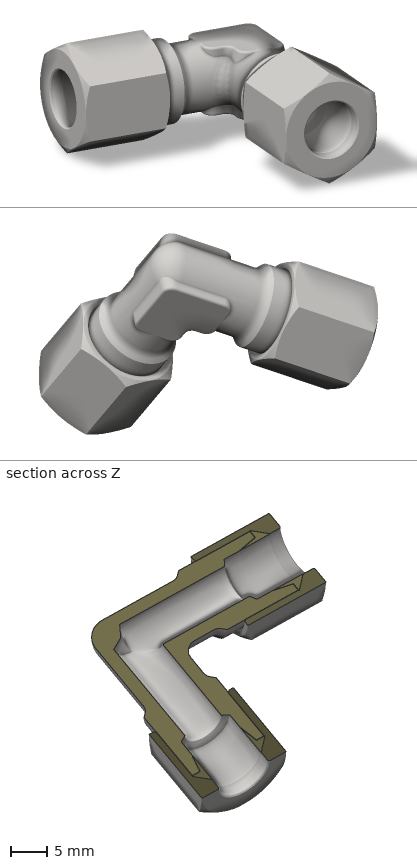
import cadquery as cq
import math


TUBE_RADIUS = 5.0
OUTER_BEND_RADIUS = 3.5
CROTCH_RADIUS = 2.0
COLLAR_RADIUS = 6.0
COLLAR_SWEEP_START = 10.15
COLLAR_SWEEP_RADIUS = 1.42
COLLAR_CONE_ANGLE = 45.0

BORE_RADIUS = 3.0
DRILL_TIP_ANGLE = 120.0
SOCKET_RADIUS = 4.0
SOCKET_FLOOR = 18.0
SEAT_HALF_ANGLE = 12.0
SEAT_DEPTH = 3.0

PAD_HEIGHT = 5.0
PAD_HALF_WIDTH = 3.48
PAD_REACH = 7.0
PAD_DRAFT_ANGLE = 13.0
PAD_CORNER_RADIUS = 1.5
PAD_NOTCH_RADIUS = 1.0
PAD_EDGE_RADIUS = 0.33

EDGE_MARGIN = 0.2

NUT_ACROSS_FLATS = 14.0
NUT_START = 14.45
NUT_LENGTH = 13.0
NUT_FACE_RADIUS = 6.95
NUT_CHAMFER_ANGLE = 30.0
NUT_MOUTH_CHAMFER = 0.25
NUT_HOLE_RADIUS = 4.05
NUT_HOLE_LIP = 0.18
NUT_HOLE_DEPTH = 1.9

RING_LEAD_IN = 0.15

BEND_OFFSET = TUBE_RADIUS - OUTER_BEND_RADIUS
NUT_END = NUT_START + NUT_LENGTH
NUT_CORNER_RADIUS = NUT_ACROSS_FLATS / 2 / math.cos(math.radians(30))
NUT_CHAMFER_LENGTH = (NUT_CORNER_RADIUS - NUT_FACE_RADIUS) * math.tan(math.radians(NUT_CHAMFER_ANGLE))
NUT_HOLE_START = NUT_END - NUT_HOLE_DEPTH
RING_SHOULDER_START = NUT_HOLE_START - (COLLAR_RADIUS - NUT_HOLE_RADIUS)
ARM_END = RING_SHOULDER_START
SEAT_MOUTH_RADIUS = SOCKET_RADIUS + SEAT_DEPTH * math.tan(math.radians(SEAT_HALF_ANGLE))
DRILL_TIP_LENGTH = BORE_RADIUS / math.tan(math.radians(DRILL_TIP_ANGLE / 2))


def revolve_on_x(profile):
    """Revolve a closed (x, radius) profile about the X axis."""
    return profile.close().revolve(360, (0, 0, 0), (1, 0, 0))


def to_y_arm(shape):
    """Turn a shape built on the +X arm onto the -Y arm."""
    return shape.rotate((0, 0, 0), (0, 0, 1), -90).mirror("YZ")


def make_arm():
    """Plain tube from the outer bend to the collar sweep."""
    return (
        cq.Workplane("YZ", origin=(-BEND_OFFSET, 0, 0))
        .circle(TUBE_RADIUS)
        .extrude(COLLAR_SWEEP_START + BEND_OFFSET)
    )


def make_collar():
    """Round sweep, cone and threaded collar at the end of an arm."""

    def sweep_point(angle):
        return (
            COLLAR_SWEEP_START + COLLAR_SWEEP_RADIUS * math.sin(angle),
            TUBE_RADIUS + COLLAR_SWEEP_RADIUS * (1 - math.cos(angle)),
        )

    cone_angle = math.radians(COLLAR_CONE_ANGLE)
    sweep_end = sweep_point(cone_angle)
    cone_end_x = sweep_end[0] + (COLLAR_RADIUS - sweep_end[1]) / math.tan(cone_angle)
    return revolve_on_x(
        cq.Workplane("XY")
        .moveTo(COLLAR_SWEEP_START, 0)
        .lineTo(COLLAR_SWEEP_START, TUBE_RADIUS)
        .threePointArc(sweep_point(cone_angle / 2), sweep_end)
        .lineTo(cone_end_x, COLLAR_RADIUS)
        .lineTo(ARM_END, COLLAR_RADIUS)
        .lineTo(ARM_END, 0)
    )


def make_outer_bend():
    """Quarter turn joining the backs of the two tubes."""
    half_height = math.sqrt(TUBE_RADIUS**2 - BEND_OFFSET**2)
    return (
        cq.Workplane("XZ", origin=(-BEND_OFFSET, BEND_OFFSET, 0))
        .moveTo(0, -half_height)
        .threePointArc((-OUTER_BEND_RADIUS, 0), (0, half_height))
        .close()
        .revolve(90, (0, 0, 0), (0, -1, 0))
    )


def make_pad():
    """L-shaped raised pad; the side walls of its X leg are drafted."""
    draft = PAD_HEIGHT * math.tan(math.radians(PAD_DRAFT_ANGLE))
    base_half_width = PAD_HALF_WIDTH + draft
    x_leg = (
        cq.Workplane("YZ", origin=(-PAD_HALF_WIDTH, 0, 0))
        .polyline(
            [
                (-base_half_width, 0),
                (base_half_width, 0),
                (PAD_HALF_WIDTH, PAD_HEIGHT),
                (-PAD_HALF_WIDTH, PAD_HEIGHT),
            ]
        )
        .close()
        .extrude(PAD_HALF_WIDTH + PAD_REACH)
    )
    y_leg = (
        cq.Workplane("XY", origin=(0, -PAD_REACH, 0))
        .box(2 * PAD_HALF_WIDTH, PAD_REACH, PAD_HEIGHT, centered=(True, False, False))
    )
    pad = x_leg.union(y_leg)
    notch_corner = cq.selectors.BoxSelector(
        (PAD_HALF_WIDTH - EDGE_MARGIN, -base_half_width - EDGE_MARGIN, 0),
        (PAD_HALF_WIDTH + EDGE_MARGIN, -PAD_HALF_WIDTH + EDGE_MARGIN, PAD_HEIGHT),
    )
    upright_edges = pad.edges("not #Z")
    pad = upright_edges.edges(cq.selectors.InverseSelector(notch_corner)).fillet(PAD_CORNER_RADIUS)
    pad = pad.edges("not #Z").edges(notch_corner).fillet(PAD_NOTCH_RADIUS)
    return pad.faces(">Z").edges().fillet(PAD_EDGE_RADIUS)


def make_bore():
    """Drilled bore with a conical tip, tube socket and ring seat of the X arm."""
    floor_length = (SOCKET_RADIUS - BORE_RADIUS) / math.tan(math.radians(DRILL_TIP_ANGLE / 2))
    return revolve_on_x(
        cq.Workplane("XY")
        .moveTo(-DRILL_TIP_LENGTH, 0)
        .lineTo(0, BORE_RADIUS)
        .lineTo(SOCKET_FLOOR - floor_length, BORE_RADIUS)
        .lineTo(SOCKET_FLOOR, SOCKET_RADIUS)
        .lineTo(ARM_END - SEAT_DEPTH, SOCKET_RADIUS)
        .lineTo(ARM_END, SEAT_MOUTH_RADIUS)
        .lineTo(ARM_END, 0)
    )


def make_elbow():
    """Two tubes with a rounded bend, pads and collars, bored through both arms."""
    arm = make_arm()
    tubes = arm.union(to_y_arm(arm)).union(make_outer_bend())
    pad = make_pad()
    body = tubes.union(pad).union(pad.mirror("XY"))
    crotch = cq.selectors.BoxSelector(
        (PAD_HALF_WIDTH, -TUBE_RADIUS - EDGE_MARGIN, -EDGE_MARGIN),
        (TUBE_RADIUS + EDGE_MARGIN, -PAD_HALF_WIDTH, EDGE_MARGIN),
    )
    body = body.edges(crotch).fillet(CROTCH_RADIUS)
    collar = make_collar()
    bore = make_bore()
    return body.union(collar).union(to_y_arm(collar)).cut(bore).cut(to_y_arm(bore))


def make_nut():
    """Hexagonal union nut of the X arm, chamfered at both ends."""
    hexagon = (
        cq.Workplane("YZ", origin=(NUT_START, 0, 0))
        .polygon(6, 2 * NUT_CORNER_RADIUS)
        .extrude(NUT_LENGTH)
        .rotate((0, 0, 0), (1, 0, 0), 90)
    )
    chamfered_blank = revolve_on_x(
        cq.Workplane("XY")
        .moveTo(NUT_START, 0)
        .lineTo(NUT_START, NUT_FACE_RADIUS)
        .lineTo(NUT_START + NUT_CHAMFER_LENGTH, NUT_CORNER_RADIUS)
        .lineTo(NUT_END - NUT_CHAMFER_LENGTH, NUT_CORNER_RADIUS)
        .lineTo(NUT_END, NUT_FACE_RADIUS)
        .lineTo(NUT_END, 0)
    )
    inside = revolve_on_x(
        cq.Workplane("XY")
        .moveTo(NUT_START, 0)
        .lineTo(NUT_START, COLLAR_RADIUS + NUT_MOUTH_CHAMFER)
        .lineTo(NUT_START + NUT_MOUTH_CHAMFER, COLLAR_RADIUS)
        .lineTo(RING_SHOULDER_START, COLLAR_RADIUS)
        .lineTo(NUT_HOLE_START, NUT_HOLE_RADIUS)
        .lineTo(NUT_END - NUT_HOLE_LIP, NUT_HOLE_RADIUS)
        .lineTo(NUT_END, NUT_HOLE_RADIUS + NUT_HOLE_LIP)
        .lineTo(NUT_END, 0)
    )
    return hexagon.intersect(chamfered_blank).cut(inside)


def make_ring():
    """Ring with a nose in the elbow's seat and a back against the nut's shoulder."""
    return revolve_on_x(
        cq.Workplane("XY")
        .moveTo(ARM_END - SEAT_DEPTH, SOCKET_RADIUS)
        .lineTo(ARM_END, SEAT_MOUTH_RADIUS)
        .lineTo(ARM_END, COLLAR_RADIUS)
        .lineTo(NUT_HOLE_START, NUT_HOLE_RADIUS)
        .lineTo(NUT_HOLE_START - RING_LEAD_IN, SOCKET_RADIUS)
    )


def on_both_arms(body):
    """Solids of an X arm body and its copy on the -Y arm."""
    return [body.val(), to_y_arm(body).val()]


elbow = make_elbow()
nuts = on_both_arms(make_nut())
rings = on_both_arms(make_ring())

result = cq.Compound.makeCompound([elbow.val(), *nuts, *rings])